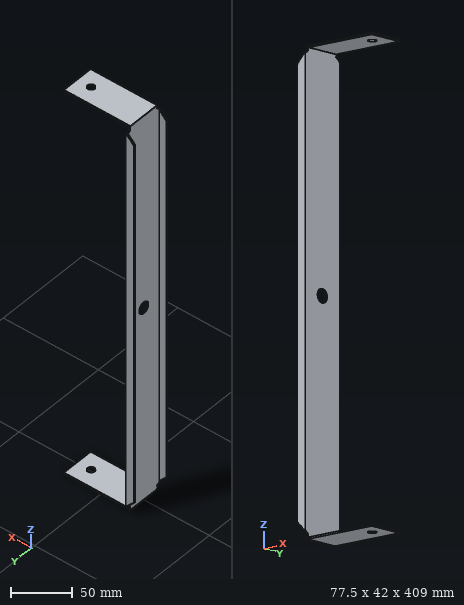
import cadquery as cq

height = 409.0
depth = 77.5
channel_width = 42.0
arm_width = 34.0
sheet = 1.5
flange_depth = 8.5
arm_hole_diameter = 7.0
arm_hole_edge = 14.7
web_hole_diameter = 11.5
notch_depth = 3.5
flange_setback = 7.0
flange_tip_setback = 14.5

web_x = flange_depth - sheet
half_height = height / 2
half_width = channel_width / 2
half_arm = arm_width / 2
shoulder_z = half_height - flange_setback
notch_z = half_height - notch_depth
flange_tip_z = half_height - flange_tip_setback


def make_web():
    """Flat web, stepped and bevelled at its four corners, with a central hole."""
    outline = [
        (-half_arm, half_height),
        (half_arm, half_height),
        (half_arm, notch_z),
        (half_width, shoulder_z),
        (half_width, -shoulder_z),
        (half_arm, -notch_z),
        (half_arm, -half_height),
        (-half_arm, -half_height),
        (-half_arm, -notch_z),
        (-half_width, -shoulder_z),
        (-half_width, shoulder_z),
        (-half_arm, notch_z),
    ]
    plate = cq.Workplane("YZ", origin=(web_x, 0, 0)).polyline(outline).close().extrude(sheet)
    hole = cq.Workplane("YZ", origin=(web_x, 0, 0)).circle(web_hole_diameter / 2).extrude(sheet)
    return plate.cut(hole)


def make_flange(start_y):
    """Side flange with sloping ends, one sheet thick from start_y towards +Y."""
    outline = [
        (0, -flange_tip_z),
        (web_x, -shoulder_z),
        (flange_depth, -shoulder_z),
        (flange_depth, shoulder_z),
        (web_x, shoulder_z),
        (0, flange_tip_z),
    ]
    return cq.Workplane("XZ", origin=(0, start_y, 0)).polyline(outline).close().extrude(-sheet)


def make_arm(bottom_z):
    """Horizontal arm with a hole near its free end."""
    arm_length = depth - web_x
    plate = (
        cq.Workplane("XY", origin=(web_x, 0, bottom_z))
        .rect(arm_length, arm_width)
        .extrude(sheet)
        .translate((arm_length / 2, 0, 0))
    )
    hole = (
        cq.Workplane("XY", origin=(depth - arm_hole_edge, 0, bottom_z))
        .circle(arm_hole_diameter / 2)
        .extrude(sheet)
    )
    return plate.cut(hole)


result = make_web()
for flange_y in (-half_width, half_width - sheet):
    result = result.union(make_flange(flange_y))
for arm_z in (-half_height, half_height - sheet):
    result = result.union(make_arm(arm_z))